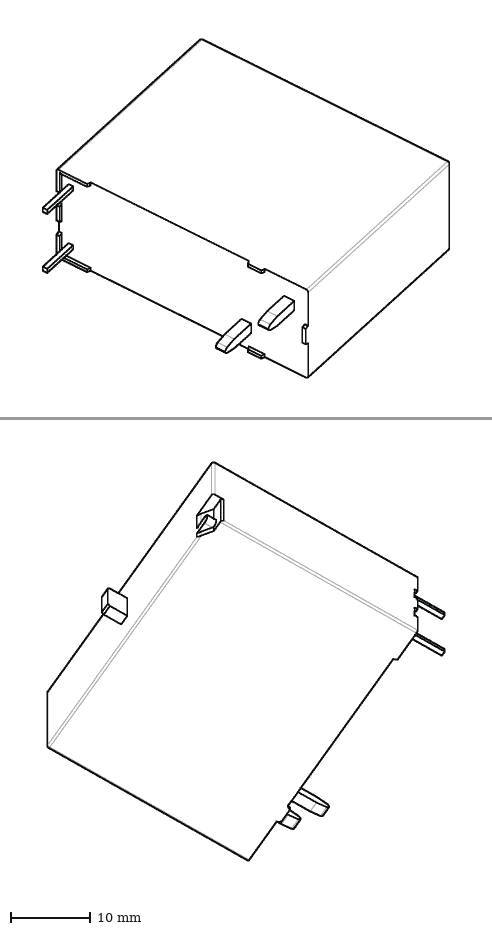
import cadquery as cq
import math

case_length = 39.0
case_depth = 30.6
case_height = 15.0
case_edge_radius = 0.3

foot_height = 0.5
foot_thickness = 0.5
foot_slope = 0.2
corner_foot_length = 5.0
corner_foot_rise = 4.0
side_foot_width = 3.0
long_foot_start = 29.75
long_foot_end = 32.25

pin_length = 5.0
coil_pin_size = 0.7
coil_pin_x = 1.9
coil_pin_offset = 5.0
contact_pin_thickness = 1.6
contact_pin_offset = 3.75
contact_pin_taper_length = 1.95
contact_pin_nose_length = 0.45
contact_pin_nose_half = 0.5
contact_pin_nose_bulge = 0.06
normally_closed_x = 36.05
normally_closed_width = 1.6
normally_open_x = 29.35
normally_open_width = 1.5

tab_x = 20.73
tab_width = 1.45
tab_height = 4.8
tab_length = 2.9
tab_chamfer = 0.3

relief_height = 6.0
relief_length = 1.65
relief_rim_length = 0.35
relief_rim_depth = 0.14
relief_floor_depth = 1.8
relief_floor_angle = 55.0
relief_edge_length = 0.3
relief_edge_angle = 60.0
bump_radius = 0.75
bump_z = 1.85
bump_top_depth = 1.2

mid_z = case_height / 2


def box(x_range, y_range, z_range):
    """Axis-aligned block given by its limits on each axis."""
    return (
        cq.Workplane("XY")
        .box(
            x_range[1] - x_range[0],
            y_range[1] - y_range[0],
            z_range[1] - z_range[0],
            centered=False,
        )
        .translate((x_range[0], y_range[0], z_range[0]))
    )


def make_case():
    """Full case block with its long and rear edges rounded."""
    case = box((0, case_length), (0, case_depth), (0, case_height))
    return case.edges("|Y or >Y").fillet(case_edge_radius)


def foot_profile(plane, start, end, slope_start, slope_end, extent):
    """Trapezoid narrowing from the base plane to the rim, extruded across the case."""
    return (
        cq.Workplane(plane)
        .polyline(
            [
                (start, foot_height),
                (start + slope_start, 0),
                (end - slope_end, 0),
                (end, foot_height),
            ]
        )
        .close()
        .extrude(extent)
    )


def long_wall_foot(start, end, slope_start, slope_end):
    """Feet on both long walls between two X positions."""
    bar = foot_profile("XY", start, end, slope_start, slope_end, case_height)
    gap = box(
        (0, case_length),
        (0, foot_height),
        (foot_thickness, case_height - foot_thickness),
    )
    return bar.cut(gap)


def end_wall_foot(start, end, slope_start, slope_end, x_start):
    """Foot on an end wall between two Z positions."""
    foot = foot_profile("ZY", start, end, slope_start, slope_end, -foot_thickness)
    return foot.translate((x_start, 0, 0))


def make_feet():
    """All stand-off feet."""
    far_x = case_length - foot_thickness
    side_start = mid_z - side_foot_width / 2
    side_end = mid_z + side_foot_width / 2
    feet = long_wall_foot(0, corner_foot_length, 0, foot_slope)
    feet = feet.union(long_wall_foot(long_foot_start, long_foot_end, foot_slope, foot_slope))
    feet = feet.union(end_wall_foot(0, corner_foot_rise, 0, foot_slope, 0))
    feet = feet.union(end_wall_foot(case_height - corner_foot_rise, case_height, foot_slope, 0, 0))
    for x_start in (0, far_x):
        feet = feet.union(end_wall_foot(side_start, side_end, foot_slope, foot_slope, x_start))
    return feet


def make_body():
    """Case with its pin side recessed to the base plane except at the feet."""
    recess = box((0, case_length), (0, foot_height), (0, case_height)).cut(make_feet())
    return make_case().cut(recess)


def make_relief():
    """Corner cutout: bevelled rim, step, floor falling away to the rear, rounded bump left on it."""
    rim_start_y = case_depth - relief_length
    rim_end_y = rim_start_y + relief_rim_length
    edge_y = case_depth - relief_edge_length
    floor_slope = math.tan(math.radians(relief_floor_angle))
    edge_slope = math.tan(math.radians(relief_edge_angle))
    edge_x = relief_floor_depth + (edge_y - rim_end_y) * floor_slope
    rear_x = edge_x + relief_edge_length * edge_slope
    cutout = (
        cq.Workplane("XY")
        .polyline(
            [
                (0, rim_start_y),
                (relief_rim_depth, rim_end_y),
                (relief_floor_depth, rim_end_y),
                (edge_x, edge_y),
                (rear_x, case_depth),
                (0, case_depth),
            ]
        )
        .close()
        .extrude(relief_height)
    )
    bump_x = bump_top_depth + bump_radius
    bump = (
        cq.Workplane("XZ", origin=(0, case_depth, 0))
        .moveTo(rear_x, bump_z - bump_radius)
        .lineTo(bump_x, bump_z - bump_radius)
        .threePointArc((bump_top_depth, bump_z), (bump_x, bump_z + bump_radius))
        .lineTo(rear_x, bump_z + bump_radius)
        .close()
        .extrude(case_depth - rim_end_y)
    )
    return cutout.cut(bump)


def make_coil_pin(z):
    """Square pin centred at the given height."""
    half = coil_pin_size / 2
    return box(
        (coil_pin_x - half, coil_pin_x + half),
        (-pin_length, foot_height),
        (z - half, z + half),
    )


def make_contact_pin(x, width, z):
    """Flat blade whose two Z faces taper to a rounded nose."""
    half = contact_pin_thickness / 2
    taper_y = contact_pin_taper_length - pin_length
    nose_y = contact_pin_nose_length - pin_length
    flank_y = (nose_y - pin_length) / 2 - contact_pin_nose_bulge
    flank_half = contact_pin_nose_half / 2 + contact_pin_nose_bulge
    return (
        cq.Workplane("YZ", origin=(x - width / 2, 0, z))
        .moveTo(foot_height, half)
        .lineTo(taper_y, half)
        .lineTo(nose_y, contact_pin_nose_half)
        .threePointArc((flank_y, flank_half), (-pin_length, 0))
        .threePointArc((flank_y, -flank_half), (nose_y, -contact_pin_nose_half))
        .lineTo(taper_y, -half)
        .lineTo(foot_height, -half)
        .close()
        .extrude(width)
    )


def make_tab():
    """Blade on the rear face with chamfered upper and lower end edges."""
    tab = box(
        (tab_x - tab_width / 2, tab_x + tab_width / 2),
        (case_depth, case_depth + tab_length),
        (mid_z - tab_height / 2, mid_z + tab_height / 2),
    )
    return tab.faces(">Y").edges("|X").chamfer(tab_chamfer)


result = make_body().cut(make_relief())
for side in (-1, 1):
    result = result.union(make_coil_pin(mid_z + side * coil_pin_offset))
result = result.union(
    make_contact_pin(normally_closed_x, normally_closed_width, mid_z + contact_pin_offset)
)
result = result.union(
    make_contact_pin(normally_open_x, normally_open_width, mid_z - contact_pin_offset)
)
result = result.union(make_tab())